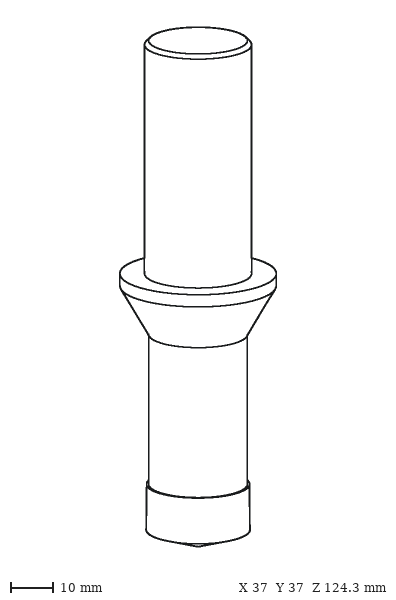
import cadquery as cq

total_length = 124.3

tip_top_diameter = 24.4
tip_base_diameter = 24.6
point_height = 4.2
tip_band_height = 11.2

stem_diameter = 23.4
stem_length = 36.8
flare_height = 11.9
collar_diameter = 37.0
collar_thickness = 3.0
shank_diameter = 25.4
shank_chamfer = 1.0

tip_top = point_height + tip_band_height
stem_top = tip_top + stem_length
flare_top = stem_top + flare_height
collar_top = flare_top + collar_thickness


def revolve_profile(points):
    """Revolve a closed (radius, height) outline about the Z axis."""
    return cq.Workplane("XZ").polyline(points).close().revolve(360, (0, 0, 0), (0, 1, 0))


def make_tip():
    """Pointed head that butts against the lower end of the stem."""
    return revolve_profile([
        (0, 0),
        (tip_base_diameter / 2, point_height),
        (tip_top_diameter / 2, tip_top),
        (0, tip_top),
    ])


def make_holder():
    """Stem, flared collar and chamfered shank in one turned piece."""
    shank_radius = shank_diameter / 2
    return revolve_profile([
        (0, tip_top),
        (stem_diameter / 2, tip_top),
        (stem_diameter / 2, stem_top),
        (collar_diameter / 2, flare_top),
        (collar_diameter / 2, collar_top),
        (shank_radius, collar_top),
        (shank_radius, total_length - shank_chamfer),
        (shank_radius - shank_chamfer, total_length),
        (0, total_length),
    ])


tip = make_tip()
holder = make_holder()

result = cq.Compound.makeCompound([holder.val(), tip.val()])